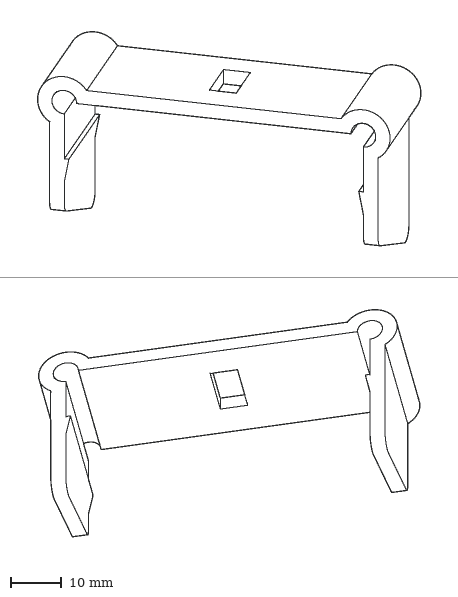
import cadquery as cq
import math

length = 72.35
width = 23.0
height = 36.8

wall = 3.05
hinge_outer_radius = 5.5
hinge_bore_radius = 2.5
hinge_x = length / 2 - hinge_outer_radius
leg_bottom = hinge_outer_radius - height

catch_top = -12.2
catch_height = 5.0
catch_depth = 0.95

slant_drop = 8.9
leg_corner_radius = 2.5

window_length = 5.5
window_width = 10.5
window_front_y = -4.8
window_back_taper = 0.2


def bar_along_y(profile):
    """Extrude an XZ profile over the full width, centred on Y = 0."""
    return profile.extrude(width / 2, both=True)


def make_leg():
    """Leg at the -X end, with its slanted foot and rounded corners."""
    slant_angle = math.atan2(slant_drop, width)
    half_corner = (math.pi / 2 - slant_angle) / 2
    rounding_loss = leg_corner_radius * (1 / math.tan(half_corner) - 1)
    back_corner = leg_bottom - rounding_loss
    front_corner = back_corner + slant_drop
    return (
        cq.Workplane("YZ", origin=(-hinge_x - wall, 0, 0))
        .moveTo(-width / 2, 0)
        .lineTo(width / 2, 0)
        .lineTo(width / 2, back_corner)
        .lineTo(-width / 2, front_corner)
        .close()
        .extrude(wall)
        .edges("|X and (not >Z)")
        .fillet(leg_corner_radius)
    )


def make_catch():
    """Wedge with a flat upper ledge, on the inner face of the -X leg."""
    return bar_along_y(
        cq.Workplane("XZ")
        .moveTo(-hinge_x - wall / 2, catch_top)
        .lineTo(-hinge_x + catch_depth, catch_top)
        .lineTo(-hinge_x, catch_top - catch_height)
        .lineTo(-hinge_x - wall / 2, catch_top - catch_height)
        .close()
    )


def make_hinge(radius):
    return bar_along_y(cq.Workplane("XZ").center(-hinge_x, 0).circle(radius))


def make_hinge_opening():
    """Clear the inner lower quarter of the hinge, between plate and leg."""
    return cq.Workplane("XY", origin=(-hinge_x, 0, -hinge_outer_radius)).box(
        hinge_outer_radius, width, hinge_outer_radius, centered=(False, True, False)
    )


def make_half_plate():
    return cq.Workplane("XY", origin=(-hinge_x, 0, 0)).box(
        hinge_x, width, wall, centered=(False, True, False)
    )


half = (
    make_hinge(hinge_outer_radius)
    .cut(make_hinge_opening())
    .union(make_half_plate())
    .union(make_leg())
    .union(make_catch())
    .cut(make_hinge(hinge_bore_radius))
)

window_back_y = window_front_y + window_width
window = (
    cq.Workplane("YZ")
    .moveTo(window_front_y, 0)
    .lineTo(window_back_y - window_back_taper, 0)
    .lineTo(window_back_y, wall)
    .lineTo(window_front_y, wall)
    .close()
    .extrude(window_length / 2, both=True)
)

result = half.union(half.mirror("YZ")).cut(window).clean()